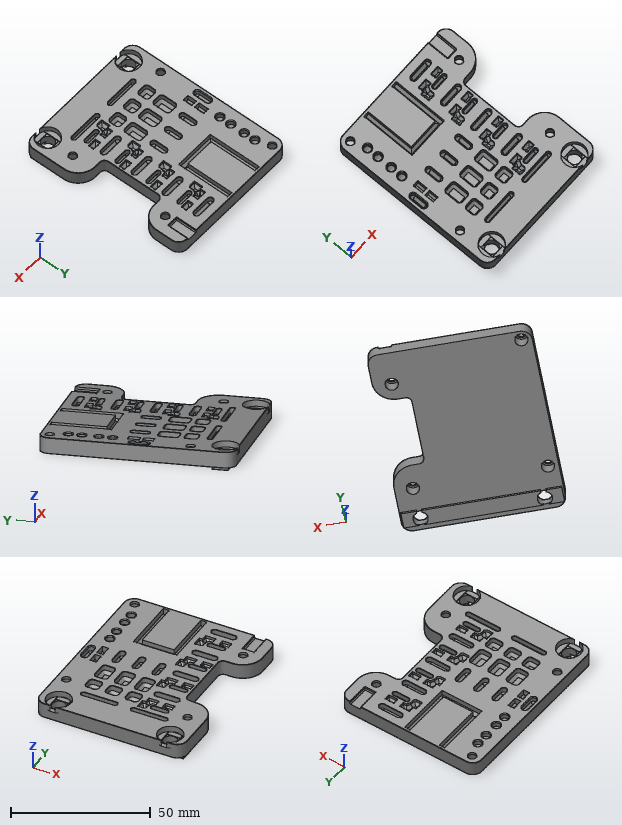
import cadquery as cq
import math

plate_width = 59.65
plate_length = 72.2
total_height = 7.0
pad_height = 1.0
plate_top = total_height - pad_height
corner_radius = 4.0
edge_break = 0.15

notch_x = 46.95
notch_bottom = 26.2
notch_top = 53.3
notch_fillet = 2.0
ear_radius = 8.0

mount_hole_centers = [(3.9, 16.8), (3.9, 68.7), (52.7, 59.6), (53.0, 16.8)]
mount_hole_diameter = 3.3
mount_hole_depth = 1.0
mount_recess_diameter = 4.7

screw_hole_xs = (7.3, 52.4)
screw_hole_y = 4.8
screw_hole_diameter = 5.4
screw_head_diameter = 9.75
screw_head_depth = 2.3
bridge_step = 0.2

pocket_wall = 2.2
part_wall = 1.0
smallest_flat = 0.01

solder_hole_x = 5.9
solder_hole_ys = (46.1, 51.1, 57.3, 62.3)
solder_radius = 1.5
rim_chamfer = 0.35

left_slot_x = 2.75
left_slot_bottom = 31.4
left_slot_top = 39.5
left_slot_radius = 1.15

left_part_x = 7.1
left_part_width = 2.45
left_part_spans = [(31.1, 35.0), (36.3, 40.6)]
left_part_slope = 0.9

column_xs = [14.0 + 8.1 * i for i in range(3)]
column_radius = 1.4
tray_slope = 1.15
column_slot_span = (34.1, 41.7)
column_pocket_width = 5.4
column_pocket_spans = [(16.25, 21.4), (23.25, 31.1)]

group_count = 4
group_pitch = 14.4
long_slot_span = (35.6, 45.85)
long_slot_y = 24.25
long_slot_radius = 1.4
short_slot_span = (38.3, 45.6)
short_slot_y = 16.4
short_slot_radius = 1.1
part_y = 19.4
part_height = 2.4
part_slope = part_height / 2
right_part_span = (42.1, 45.85)
left_part_span = (35.3, 39.4)
side_part_span = (34.0, 37.25)
side_part_bottom = 14.45
side_part_corner = 1.0
link_radius = 1.15
link_ends = [(36.0, 16.9), (37.1, 19.0)]

front_slot_y = 12.0
front_slot_radius = 1.1
front_slot_spans = [(12.35, 27.3), (32.6, 47.6)]

moat_left = 14.2
moat_right = 31.8
moat_bottom = 48.45
moat_top = 71.1
moat_width = 2.3

recess_left = 50.5
recess_right = 55.3
recess_bottom = 63.0
recess_depth = 1.2
recess_slope = 0.4

pad_left = 0.6
pad_right = 59.1
pad_bottom = 2.25
pad_top = 8.1
pad_gap = 1.95


def block(x0, x1, y0, y1, z0, z1):
    """Axis-aligned box given by its limits."""
    return cq.Workplane("XY").box(x1 - x0, y1 - y0, z1 - z0, centered=False).translate((x0, y0, z0))


def disc(x, y, radius, z0, z1):
    """Upright cylinder."""
    return cq.Workplane("XY", origin=(x, y, z0)).circle(radius).extrude(z1 - z0)


def pointed_hole(x, y, radius, wall):
    """Round cutter with a straight wall and a 45 degree point."""
    profile = [(0, plate_top), (radius, plate_top)]
    if wall > 0:
        profile.append((radius, plate_top - wall))
    profile.append((0, plate_top - wall - radius))
    turned = cq.Workplane("YZ").polyline(profile).close().revolve(360, (0, 0, 0), (0, 1, 0))
    return turned.translate((x, y, 0))


def v_profile(radius, wall):
    """Cross-section of a groove: straight walls down to a 45 degree V."""
    shoulder = plate_top - wall
    tip = (0, shoulder - radius)
    if wall == 0:
        return [(-radius, plate_top), (radius, plate_top), tip]
    return [(-radius, plate_top), (radius, plate_top), (radius, shoulder), tip, (-radius, shoulder)]


def groove(start, end, radius, wall=pocket_wall):
    """Round-ended slot cutter with a straight wall and a 45 degree V bottom."""
    dx = end[0] - start[0]
    dy = end[1] - start[1]
    length = math.hypot(dx, dy)
    bar = cq.Workplane("YZ").polyline(v_profile(radius, wall)).close().extrude(length)
    cutter = bar.union(pointed_hole(0, 0, radius, wall)).union(pointed_hole(length, 0, radius, wall))
    cutter = cutter.rotate((0, 0, 0), (0, 0, 1), math.degrees(math.atan2(dy, dx)))
    return cutter.translate((start[0], start[1], 0))


def rimmed_groove(start, end, radius, rim):
    """Groove whose mouth, of the given radius, is chamfered down to the wall."""
    return groove(start, end, radius - rim).union(groove(start, end, radius, 0))


def tray(x0, x1, y0, y1, radius):
    """Round-cornered pocket cutter whose floor is edged by 45 degree slopes."""
    middle = ((x0 + x1) / 2, (y0 + y1) / 2)
    shoulder = plate_top - pocket_wall
    outline = cq.Sketch().rect(x1 - x0, y1 - y0).vertices().fillet(radius)
    mouth = cq.Workplane("XY", origin=(*middle, plate_top)).placeSketch(outline)
    inset = cq.Sketch().rect(x1 - x0 - 2 * edge_break, y1 - y0 - 2 * edge_break)
    inset = inset.vertices().fillet(radius - edge_break)
    walls = cq.Workplane("XY", origin=(*middle, shoulder)).placeSketch(inset).extrude(pocket_wall)
    slopes = cq.Workplane("XY", origin=(*middle, shoulder)).placeSketch(inset)
    cutter = walls.union(slopes.extrude(-tray_slope, taper=45))
    return cutter.union(mouth.extrude(-edge_break, taper=45))


def sloped_profile(plane, low, high, slope, wall):
    """Pocket cross-section with its lower corners cut at 45 degrees."""
    shoulder = plate_top - wall
    points = [(low, plate_top), (low, shoulder), (low + slope, shoulder - slope)]
    if high - low - 2 * slope > smallest_flat:
        points.append((high - slope, shoulder - slope))
    points += [(high, shoulder), (high, plate_top)]
    return cq.Workplane(plane).polyline(points).close()


def part_pocket(x0, x1, y0, y1):
    """Square-cornered pocket cutter with a hipped 45 degree bottom."""
    along_y = sloped_profile("XZ", x0, x1, part_slope, part_wall).extrude(y0 - y1).translate((0, y0, 0))
    along_x = sloped_profile("YZ", y0, y1, part_slope, part_wall).extrude(x1 - x0).translate((x0, 0, 0))
    return along_y.intersect(along_x)


def make_plate():
    """Plate with rounded corners and the notch between two ears."""
    plate = block(0, plate_width, 0, plate_length, 0, plate_top).edges("|Z").fillet(corner_radius)
    notch = block(notch_x, plate_width, notch_bottom, notch_top, 0, plate_top)
    plate = plate.cut(notch)
    inner = cq.selectors.BoxSelector(
        (notch_x - 0.7, notch_bottom - 0.7, -0.7), (notch_x + 0.7, notch_top + 0.7, plate_top + 0.7)
    )
    outer = cq.selectors.BoxSelector(
        (plate_width - 0.7, notch_bottom - 0.7, -0.7), (plate_width + 0.7, notch_top + 0.7, plate_top + 0.7)
    )
    plate = plate.edges("|Z").edges(inner).fillet(notch_fillet)
    plate = plate.edges("|Z").edges(outer).fillet(ear_radius)
    return plate.faces(">Z").edges().chamfer(edge_break)


def add_pads(body):
    """Thin bar under the front edge, split below each screw hole."""
    bar = block(pad_left, pad_right, pad_bottom, pad_top, -pad_height, 0)
    for x in screw_hole_xs:
        bar = bar.cut(block(x - pad_gap / 2, x + pad_gap / 2, pad_bottom, pad_top, -pad_height, 0))
    return body.union(bar)


def cut_mount_holes(body):
    """Through holes with a wider bore from below."""
    for x, y in mount_hole_centers:
        body = body.cut(disc(x, y, mount_hole_diameter / 2, 0, plate_top))
        body = body.cut(disc(x, y, mount_recess_diameter / 2, 0, plate_top - mount_hole_depth))
    return body


def cut_screw_holes(body):
    """Through holes with head recesses that step down to a square, then to the bore."""
    half = screw_hole_diameter / 2
    head_radius = screw_head_diameter / 2
    head_floor = plate_top - screw_head_depth
    strip_floor = head_floor - bridge_step
    square_floor = strip_floor - bridge_step
    y = screw_hole_y
    for x in screw_hole_xs:
        strip = block(x - half, x + half, 0, 2 * y, strip_floor, head_floor)
        strip = strip.intersect(disc(x, y, head_radius, strip_floor, head_floor))
        body = body.cut(disc(x, y, half, -pad_height, square_floor))
        body = body.cut(block(x - half, x + half, y - half, y + half, square_floor, strip_floor))
        body = body.cut(strip)
        body = body.cut(disc(x, y, head_radius, head_floor, plate_top))
    return body


def left_side_cutters():
    """Solder-joint holes, the slot and the two small pockets along the -X side."""
    cutters = []
    for y in solder_hole_ys:
        cutters.append(pointed_hole(solder_hole_x, y, solder_radius, pocket_wall))
        cutters.append(pointed_hole(solder_hole_x, y, solder_radius + rim_chamfer, 0))
    ends = [
        (left_slot_x, left_slot_bottom + left_slot_radius + rim_chamfer),
        (left_slot_x, left_slot_top - left_slot_radius - rim_chamfer),
    ]
    cutters.append(rimmed_groove(*ends, left_slot_radius + rim_chamfer, rim_chamfer))
    for low, high in left_part_spans:
        edge = left_part_width / 2
        trough = sloped_profile("XZ", left_part_x - edge, left_part_x + edge, left_part_slope, pocket_wall)
        cutters.append(trough.extrude(low - high).translate((0, low, 0)))
    return cutters


def column_cutters():
    """One slot above two trays in each middle column."""
    cutters = []
    low, high = column_slot_span
    for x in column_xs:
        ends = [(x, low + column_radius), (x, high - column_radius)]
        cutters.append(rimmed_groove(*ends, column_radius, edge_break))
        for bottom, top in column_pocket_spans:
            half = column_pocket_width / 2
            cutters.append(tray(x - half, x + half, bottom, top, column_radius))
    return cutters


def level_groove(span, y, radius):
    """Groove along X between the outer ends in span."""
    return rimmed_groove((span[0] + radius, y), (span[1] - radius, y), radius, edge_break)


def channel_group():
    """Lowest channel group: two slots, two part pockets and a linked side pocket."""
    low = part_y - part_height / 2
    high = part_y + part_height / 2
    side_pocket = part_pocket(*side_part_span, side_part_bottom, low)
    cutters = [
        level_groove(long_slot_span, long_slot_y, long_slot_radius),
        level_groove(short_slot_span, short_slot_y, short_slot_radius),
        part_pocket(*right_part_span, low, high),
        part_pocket(*left_part_span, low, high),
        side_pocket.edges("|Z").edges(">X").edges("<Y").fillet(side_part_corner),
        groove(*link_ends, link_radius, part_wall),
    ]
    return cutters


def moat_cutter():
    """U-shaped V-bottomed groove with square mitred corners."""
    radius = moat_width / 2
    path = [
        (moat_left + radius, moat_top),
        (moat_left + radius, moat_bottom + radius),
        (moat_right - radius, moat_bottom + radius),
        (moat_right - radius, moat_top),
    ]
    section = cq.Workplane("XZ", origin=(path[0][0], moat_top, 0))
    section = section.polyline(v_profile(radius, pocket_wall)).close()
    return section.sweep(cq.Workplane("XY").polyline(path), transition="right")


def recess_cutter():
    """Connector recess with 45 degree slopes where the walls meet the floor."""
    floor = plate_top - recess_depth
    cutter = block(
        recess_left, recess_right, recess_bottom, plate_length + recess_slope, floor, plate_top
    )
    return cutter.faces("<Z").edges().chamfer(recess_slope)


body = add_pads(make_plate())
body = cut_mount_holes(body)
body = cut_screw_holes(body)

cutters = left_side_cutters() + column_cutters() + [moat_cutter(), recess_cutter()]
for cutter in channel_group():
    for i in range(group_count):
        cutters.append(cutter.translate((0, i * group_pitch, 0)))
for span in front_slot_spans:
    cutters.append(level_groove(span, front_slot_y, front_slot_radius))
for cutter in cutters:
    body = body.cut(cutter)

result = body